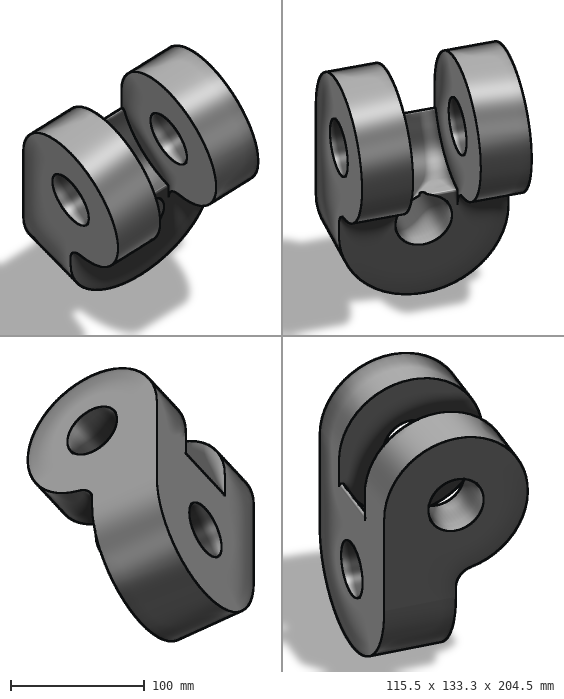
import cadquery as cq

height = 204.5
width = 133.3
depth = 115.5

lug_radius = depth / 2
plate_thickness = depth / 2
plate_end_radius = width / 2
slot_width = 53.2
lug_blend_radius = 15.0
hole_diameter = 44.4

floor_radius = 58.0
floor_edge_radius = 2.0

lug_axis_x = lug_radius
lug_axis_z = height - lug_radius
plate_axis_z = plate_end_radius


def y_cylinder(radius, length):
    """Cylinder on the lug axis, centred on the middle plane."""
    return (
        cq.Workplane("XZ", origin=(lug_axis_x, 0, lug_axis_z))
        .circle(radius)
        .extrude(length / 2, both=True)
    )


def plate_block(length):
    """Straight plate, as long in Y as asked, reaching up to the lug axis."""
    return cq.Workplane("XY").box(plate_thickness, length, lug_axis_z, centered=(False, True, False))


def lug_body():
    """Full-width plate and lug disc, with the inner corner between them blended."""
    blend_x = plate_thickness + lug_blend_radius
    centre_distance = lug_radius + lug_blend_radius
    blend_drop = (centre_distance**2 - (blend_x - lug_axis_x) ** 2) ** 0.5
    blend_z = lug_axis_z - blend_drop
    reach = lug_radius / centre_distance
    disc_tangent = (
        lug_axis_x + (blend_x - lug_axis_x) * reach,
        lug_axis_z - blend_drop * reach,
    )
    web = (
        cq.Workplane("XZ")
        .moveTo(plate_thickness, blend_z)
        .lineTo(*disc_tangent)
        .lineTo(lug_axis_x, lug_axis_z)
        .close()
        .extrude(width / 2, both=True)
    )
    blend = (
        cq.Workplane("XZ", origin=(blend_x, 0, blend_z))
        .circle(lug_blend_radius)
        .extrude(width / 2, both=True)
    )
    return plate_block(width).union(y_cylinder(lug_radius, width)).union(web.cut(blend))


def slot_bridge():
    """Part of the plate between the lugs, hollowed by the floor and rounded at both edges."""
    bridge = plate_block(slot_width).cut(y_cylinder(floor_radius, width))
    floor_drop = (floor_radius**2 - lug_radius**2) ** 0.5
    front_edge = (0, 0, lug_axis_z - floor_drop)
    back_edge = (plate_thickness, 0, lug_axis_z - floor_radius)
    for edge_point in (front_edge, back_edge):
        edge = cq.selectors.NearestToPointSelector(edge_point)
        bridge = bridge.edges("|Y").edges(edge).fillet(floor_edge_radius)
    return bridge


def plate_outline():
    """Face outline of the part: a straight body with a semicircular lower end."""
    return (
        cq.Workplane("YZ")
        .moveTo(-width / 2, height)
        .lineTo(-width / 2, plate_axis_z)
        .threePointArc((0, 0), (width / 2, plate_axis_z))
        .lineTo(width / 2, height)
        .close()
        .extrude(depth)
    )


slot = cq.Workplane("XY").box(depth, slot_width, height, centered=(False, True, False))
plate_hole = (
    cq.Workplane("YZ", origin=(0, 0, plate_axis_z))
    .circle(hole_diameter / 2)
    .extrude(plate_thickness)
)

result = lug_body().cut(slot).union(slot_bridge())
result = result.intersect(plate_outline())
result = result.cut(y_cylinder(hole_diameter / 2, width)).cut(plate_hole)